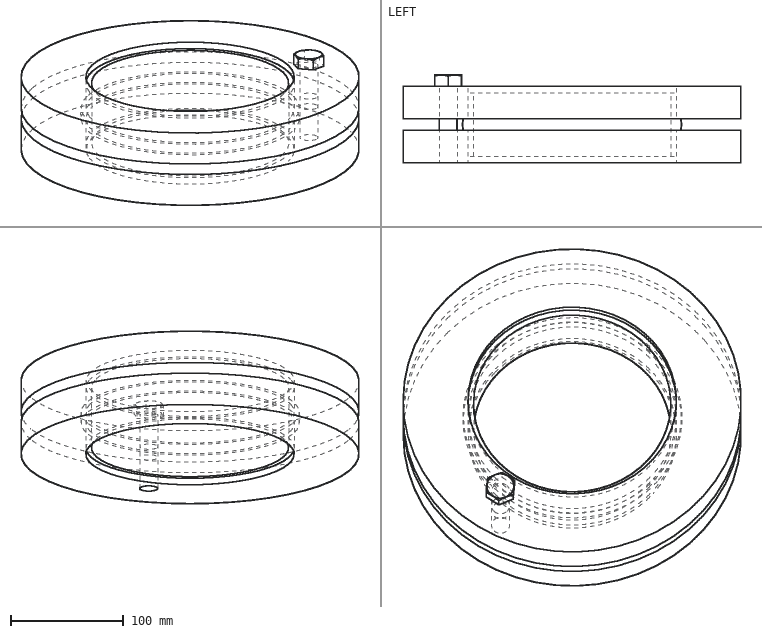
import cadquery as cq
import math

flange_diameter = 300.0
flange_thickness = 29.0
flange_gap = 10.0
upper_flange_base = flange_thickness + flange_gap
stack_height = upper_flange_base + flange_thickness

sleeve_bore = 175.0
sleeve_diameter = 184.8
sleeve_setback = 6.0
collar_diameter = 194.7
collar_ridge_height = flange_thickness + flange_gap / 2
collar_taper = 0.5

bolt_circle_diameter = 220.0
bolt_offset = bolt_circle_diameter / 2
shank_diameter = 16.0
head_across_flats = 24.0
overall_height = 78.0
head_height = overall_height - stack_height
head_chamfer_angle = 30.0
hexagon_half_angle = 30.0


def make_flange(base_height):
    """Plain ring with a sleeve bore and one bolt hole."""
    return (
        cq.Workplane("XY")
        .workplane(offset=base_height)
        .circle(flange_diameter / 2)
        .circle(sleeve_diameter / 2)
        .extrude(flange_thickness)
        .cut(make_shank())
    )


def make_sleeve():
    """Tube with a collar between the flanges; the collar tapers both ways from its middle ridge."""
    bore_radius = sleeve_bore / 2
    tube_radius = sleeve_diameter / 2
    collar_radius = collar_diameter / 2
    top = stack_height - sleeve_setback
    profile = [
        (bore_radius, sleeve_setback),
        (tube_radius, sleeve_setback),
        (tube_radius, flange_thickness),
        (collar_radius - collar_taper, flange_thickness),
        (collar_radius, collar_ridge_height),
        (collar_radius - collar_taper, upper_flange_base),
        (tube_radius, upper_flange_base),
        (tube_radius, top),
        (bore_radius, top),
    ]
    return cq.Workplane("XZ").polyline(profile).close().revolve(360, (0, 0), (0, 1))


def make_shank():
    """Bolt shank through both flanges."""
    return cq.Workplane("XY").center(0, bolt_offset).circle(shank_diameter / 2).extrude(stack_height)


def make_bolt_head():
    """Hexagon with two corners along X, its top corners cut by a cone."""
    flat_radius = head_across_flats / 2
    corner_radius = flat_radius / math.cos(math.radians(hexagon_half_angle))
    chamfer_drop = (corner_radius - flat_radius) * math.tan(math.radians(head_chamfer_angle))
    hexagon = cq.Workplane("XY").polygon(6, 2 * corner_radius).extrude(head_height)
    cone = (
        cq.Workplane("XY")
        .circle(corner_radius)
        .extrude(head_height)
        .faces(">Z")
        .chamfer(chamfer_drop, corner_radius - flat_radius)
    )
    return hexagon.intersect(cone).translate((0, bolt_offset, stack_height))


def make_bolt():
    return make_shank().union(make_bolt_head())


flanges = [make_flange(base_height) for base_height in (0, upper_flange_base)]
sleeve = make_sleeve()
bolt = make_bolt()

result = cq.Compound.makeCompound([*[flange.val() for flange in flanges], sleeve.val(), bolt.val()])